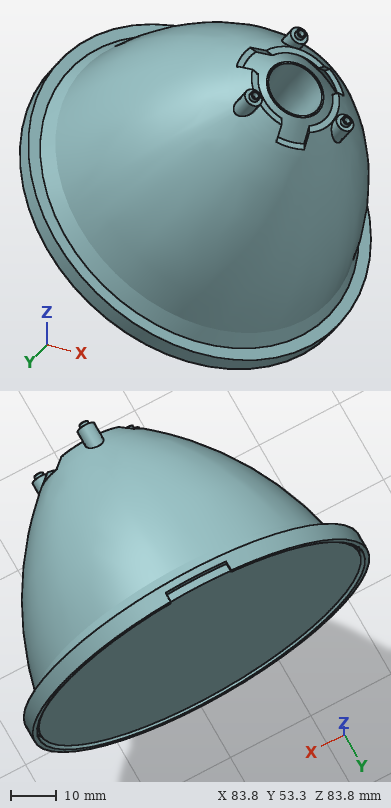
import cadquery as cq
import math


flange_radius = 41.9
flange_depth = 4.1
shoulder_radius = 38.9
bowl_radius = 36.9
bowl_depth = 7.45
nose_radius = 10.7
nose_depth = 50.4
bowl_curvature_radius = 77.0
wall = 1.0

seat_radius = 40.8
seat_depth = 2.35
notch_width = 15.0

slot_width = 6.8
slot_depth = 2.5
slot_angles = (30, 150, 270)

stud_radius = 2.1
stud_circle_radius = 12.9
stud_root_depth = 45.2
stud_end_depth = 52.2
stud_tip_radius = 1.1
stud_tip_depth = 53.3
stud_hole_radius = 0.75
stud_hole_floor_radius = 0.3
stud_hole_length = 1.1
stud_angles = (90, 210, 330)

lens_gap = 1.4
lens_rim_radius = 40.0
lens_back_depth = 0.5
lens_tip_radius = 6.95
bore_mouth_radius = 6.5
bore_floor_radius = 5.6
bore_length = 20.1

chord = math.hypot(nose_depth - bowl_depth, bowl_radius - nose_radius)
centre_distance = math.sqrt(bowl_curvature_radius**2 - (chord / 2) ** 2)
centre_radius = (bowl_radius + nose_radius) / 2 - centre_distance * (nose_depth - bowl_depth) / chord
centre_depth = (bowl_depth + nose_depth) / 2 - centre_distance * (bowl_radius - nose_radius) / chord


def radius_at(depth, inset):
    """Radius at a depth on the bowl curve moved inward by the inset."""
    curvature = bowl_curvature_radius - inset
    return centre_radius + math.sqrt(curvature**2 - (depth - centre_depth) ** 2)


def depth_at(radius, inset):
    """Depth at a radius on the bowl curve moved inward by the inset."""
    curvature = bowl_curvature_radius - inset
    return centre_depth + math.sqrt(curvature**2 - (radius - centre_radius) ** 2)


def bowl_point(depth, inset):
    return (radius_at(depth, inset), -depth)


def revolve(profile):
    return profile.close().revolve(360, (0, 0, 0), (0, 1, 0))


def disc(radius, start_depth, end_depth):
    """Cylinder on the lamp axis between two depths."""
    plane = cq.Workplane("XZ", origin=(0, -start_depth, 0))
    return plane.circle(radius).extrude(end_depth - start_depth)


def around_axis(body, angle):
    """Turn a body from the +X direction to an angle around the lamp axis, +Z being 90 degrees."""
    return body.rotate((0, 0, 0), (0, 1, 0), -angle)


def make_stud_hole():
    """Blind hole in the stud tip that narrows toward its flat floor."""
    profile = (
        cq.Workplane("XY")
        .moveTo(0, -stud_tip_depth)
        .lineTo(stud_hole_radius, -stud_tip_depth)
        .lineTo(stud_hole_floor_radius, stud_hole_length - stud_tip_depth)
        .lineTo(0, stud_hole_length - stud_tip_depth)
    )
    return revolve(profile)


def make_stud(angle):
    stud = disc(stud_radius, stud_root_depth, stud_end_depth)
    stud = stud.union(disc(stud_tip_radius, stud_end_depth, stud_tip_depth))
    stud = stud.cut(make_stud_hole())
    return around_axis(stud.translate((stud_circle_radius, 0, 0)), angle)


def make_slot(angle):
    start_depth = nose_depth - slot_depth
    plane = cq.Workplane("XZ", origin=(0, -start_depth, 0))
    slot = plane.rect(flange_radius, slot_width).extrude(slot_depth)
    return around_axis(slot.translate((flange_radius / 2, 0, 0)), angle)


def make_cavity():
    middle_depth = (seat_depth + nose_depth) / 2
    profile = (
        cq.Workplane("XY")
        .lineTo(seat_radius, 0)
        .lineTo(seat_radius, -seat_depth)
        .lineTo(*bowl_point(seat_depth, wall))
        .threePointArc(bowl_point(middle_depth, wall), bowl_point(nose_depth, wall))
        .lineTo(0, -nose_depth)
    )
    return revolve(profile)


def make_housing():
    profile = (
        cq.Workplane("XY")
        .lineTo(flange_radius, 0)
        .lineTo(flange_radius, -flange_depth)
        .lineTo(shoulder_radius, -flange_depth)
        .lineTo(bowl_radius, -bowl_depth)
        .threePointArc(bowl_point((bowl_depth + nose_depth) / 2, 0), (nose_radius, -nose_depth))
        .lineTo(0, -nose_depth)
    )
    housing = revolve(profile)
    for angle in slot_angles:
        housing = housing.cut(make_slot(angle))
    for angle in stud_angles:
        housing = housing.union(make_stud(angle))
    notch = cq.Workplane("XY").rect(notch_width, 2 * seat_depth).extrude(flange_radius)
    return housing.cut(make_cavity()).cut(notch).solids()


def make_lens():
    inset = wall + lens_gap
    tip_depth = depth_at(lens_tip_radius, inset)
    middle_depth = (seat_depth + tip_depth) / 2
    profile = (
        cq.Workplane("XY")
        .moveTo(0, -lens_back_depth)
        .lineTo(lens_rim_radius, -lens_back_depth)
        .lineTo(lens_rim_radius, -seat_depth)
        .lineTo(*bowl_point(seat_depth, inset))
        .threePointArc(bowl_point(middle_depth, inset), (lens_tip_radius, -tip_depth))
        .lineTo(bore_mouth_radius, -tip_depth)
        .lineTo(bore_floor_radius, bore_length - tip_depth)
        .lineTo(0, bore_length - tip_depth)
    )
    return revolve(profile)


housing = make_housing()
lens = make_lens()

result = cq.Compound.makeCompound([housing.val(), lens.val()])